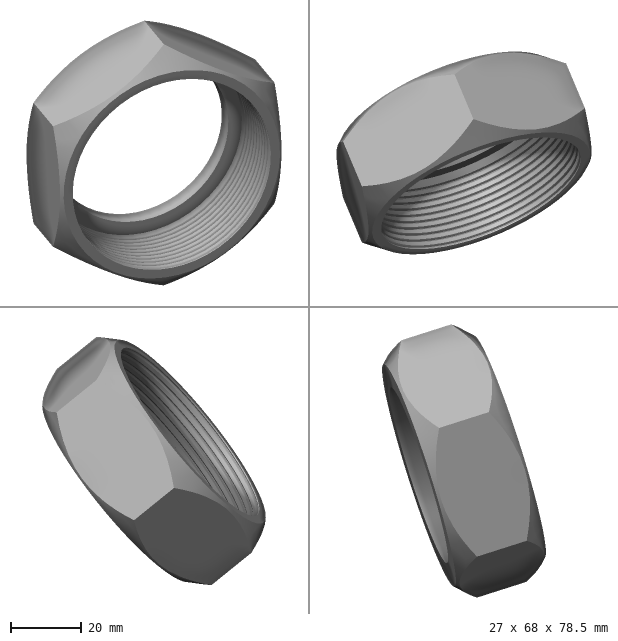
import cadquery as cq
import math

corner_diameter = 78.5
thickness = 27.0
face_diameter = 66.4
chamfer_angle = 45.0

lip_diameter = 52.5
lip_length = 5.0
thread_minor_diameter = 60.85

groove_count = 10
groove_pitch = 2.05
groove_depth = 0.55
groove_mouth = 0.95
groove_floor = 0.15
first_groove_offset = 2.8

corner_radius = corner_diameter / 2
lip_radius = lip_diameter / 2
thread_minor_radius = thread_minor_diameter / 2
half_thickness = thickness / 2
lip_back = -half_thickness + lip_length


def hexagon_prism():
    corners = [
        (corner_radius * math.sin(math.radians(60 * i)), corner_radius * math.cos(math.radians(60 * i)))
        for i in range(6)
    ]
    return cq.Workplane("YZ").polyline(corners).close().extrude(half_thickness, both=True)


def revolve_about_x(profile):
    return cq.Workplane("XZ").polyline(profile).close().revolve(360, (0, 0, 0), (1, 0, 0))


def double_cone_envelope():
    """Round blank whose conical ends chamfer the hexagon corners."""
    face_radius = face_diameter / 2
    chamfer_length = (corner_radius - face_radius) * math.tan(math.radians(chamfer_angle))
    shoulder = half_thickness - chamfer_length
    return revolve_about_x([
        (-half_thickness, 0),
        (-half_thickness, face_radius),
        (-shoulder, corner_radius),
        (shoulder, corner_radius),
        (half_thickness, face_radius),
        (half_thickness, 0),
    ])


def stepped_bore():
    """Narrow opening through the lip, then the wide thread bore, drawn on the -Z side."""
    return revolve_about_x([
        (-half_thickness, 0),
        (-half_thickness, -lip_radius),
        (lip_back, -lip_radius),
        (lip_back, -thread_minor_radius),
        (half_thickness, -thread_minor_radius),
        (half_thickness, 0),
    ])


def thread_groove(center_x):
    inner = -lip_radius
    mouth = -thread_minor_radius
    floor = mouth - groove_depth
    return revolve_about_x([
        (center_x - groove_mouth / 2, inner),
        (center_x - groove_mouth / 2, mouth),
        (center_x - groove_floor / 2, floor),
        (center_x + groove_floor / 2, floor),
        (center_x + groove_mouth / 2, mouth),
        (center_x + groove_mouth / 2, inner),
    ])


result = hexagon_prism().intersect(double_cone_envelope()).cut(stepped_bore())

for i in range(groove_count):
    result = result.cut(thread_groove(lip_back + first_groove_offset + i * groove_pitch))